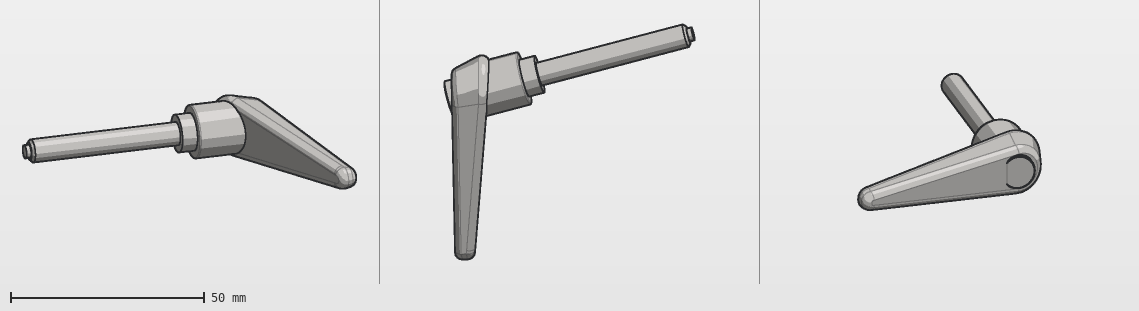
import cadquery as cq
import math

PIN_END = 0.0
STUD_END = 1.2
STUD_TOP = 41.35
HUB_BOTTOM = 45.4
HUB_TOP = 58.75
BUTTON_TOP = 65.8

PIN_RADIUS = 1.75
STUD_RADIUS = 3.05
STUD_CHAMFER = 0.8
COLLAR_RADIUS = 4.95
HUB_RADIUS = 7.0
HUB_EDGE_RADIUS = 0.3
BUTTON_RADIUS = 4.5
BUTTON_CHAMFER = 0.2

DRAFT = 13.0
BLANK_BOTTOM = 45.8
BLANK_TOP = 80.1
HEAD_RADIUS = 10.8
TIP_RADIUS = 9.3
TIP_X = 42.1
UNDERSIDE_Y = 55.25
UNDERSIDE_SLOPE = 20.1
UPPER_Y = 64.9
UPPER_SLOPE = 15.0
ARM_FILLET = 2.0
TRIM_START = -15.25
TRIM_END = 57.2
TRIM_HALF_DEPTH = 15.25


def cylinder(radius, start, end):
    """A cylinder on the Y axis between two axial positions."""
    return cq.Workplane("XZ", origin=(0, start, 0)).circle(radius).extrude(start - end)


def make_arm_blank():
    """Two circles joined by tangent lines, extruded toward +Y with draft."""
    lean = (HEAD_RADIUS - TIP_RADIUS) / TIP_X
    rise = math.sqrt(1 - lean**2)
    head_x, head_z = HEAD_RADIUS * lean, HEAD_RADIUS * rise
    tip_x, tip_z = TIP_X + TIP_RADIUS * lean, TIP_RADIUS * rise
    return (
        cq.Workplane("ZX", origin=(0, BLANK_BOTTOM, 0))
        .moveTo(head_z, head_x)
        .lineTo(tip_z, tip_x)
        .threePointArc((0, TIP_X + TIP_RADIUS), (-tip_z, tip_x))
        .lineTo(-head_z, head_x)
        .threePointArc((0, -HEAD_RADIUS), (head_z, head_x))
        .close()
        .extrude(BLANK_TOP - BLANK_BOTTOM, taper=DRAFT)
    )


def make_arm():
    """Trim the blank to its sloping faces and round their outlines."""
    def underside(x):
        return UNDERSIDE_Y + x * math.tan(math.radians(UNDERSIDE_SLOPE))

    def upper(x):
        return UPPER_Y + x * math.tan(math.radians(UPPER_SLOPE))

    trim = (
        cq.Workplane("XY")
        .polyline([
            (TRIM_START, underside(TRIM_START)),
            (TRIM_END, underside(TRIM_END)),
            (TRIM_END, upper(TRIM_END)),
            (TRIM_START, upper(TRIM_START)),
        ])
        .close()
        .extrude(TRIM_HALF_DEPTH, both=True)
    )
    arm = make_arm_blank().intersect(trim)
    for face in ("<Y", ">Y"):
        arm = arm.faces("#Z").faces(face).edges().fillet(ARM_FILLET)
    return arm


def make_lever():
    """Arm, hub and end button in one piece."""
    hub = cylinder(HUB_RADIUS, HUB_BOTTOM, HUB_TOP).faces("<Y").edges().fillet(HUB_EDGE_RADIUS)
    button = cylinder(BUTTON_RADIUS, HUB_TOP, BUTTON_TOP).faces(">Y").edges().chamfer(BUTTON_CHAMFER)
    return make_arm().union(hub).union(button)


def make_stud():
    """Collar, long shank and reduced end pin."""
    collar = cylinder(COLLAR_RADIUS, STUD_TOP, HUB_BOTTOM)
    shank = cylinder(STUD_RADIUS, STUD_END, STUD_TOP).faces("<Y").edges().chamfer(STUD_CHAMFER)
    pin = cylinder(PIN_RADIUS, PIN_END, STUD_END)
    return collar.union(shank).union(pin)


lever = make_lever()
stud = make_stud()

result = cq.Compound.makeCompound([lever.val(), stud.val()])